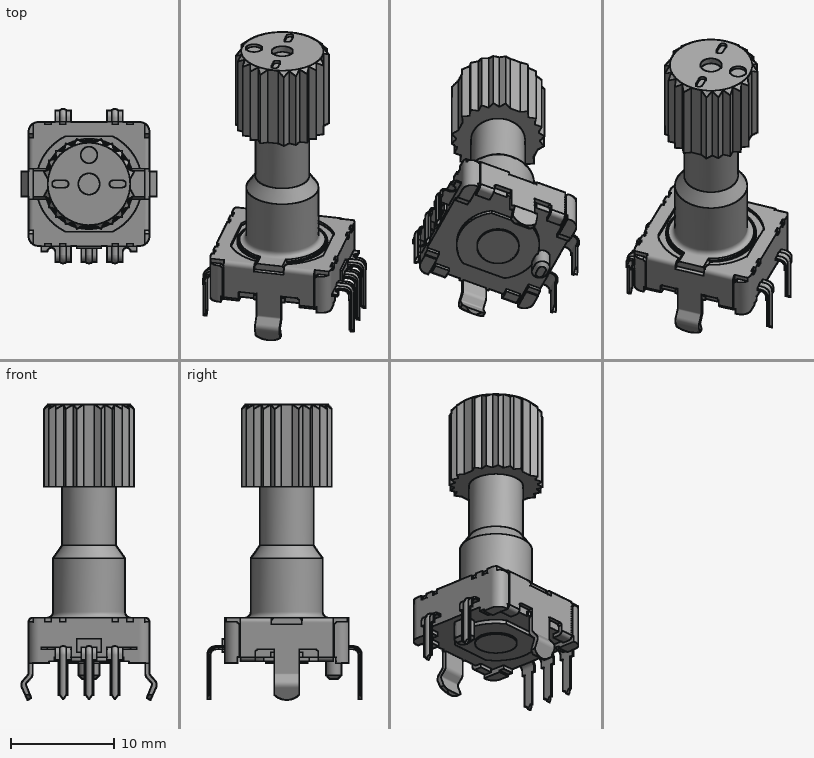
import cadquery as cq
import math


BODY_X = 11.72
BODY_Y = 12.0
BODY_TOP = 4.4
BODY_FLOOR = 0.57
CORNER_RADIUS = 1.0
SHEET = 0.43
BEND_RADIUS = 0.45
PLATE_HALF = 4.5
PLATE_BOTTOM = 0.17
SEAM_WIDTH = 0.1
SEAM_DEPTH = 0.11
FOOT_X = 3.85
FOOT_Y = 4.75
WALL_STEP_X = 3.32
CRIMP_LENGTH = 1.15

RECESS_RADIUS = 5.15
RECESS_HALF_Y = 4.6
RECESS_DEPTH = 0.25
RECESS_SLOPE = 0.215
ISLAND_RADIUS = 4.15
ISLAND_SLOPE = 0.11
ISLAND_STEP_RADIUS = 4.37
ISLAND_STEP = 0.1
BRIDGE_HALF = 1.25
BRIDGE_STEP = 0.65

BUSHING_RADIUS = 7.0 / 2
FLARE = 0.51
CONE_BOTTOM = 10.12
CONE_TOP = 11.38
SHAFT_RADIUS = 5.23 / 2
KNOB_BOTTOM = 17.05
KNOB_TOP = 25.02
TOOTH_RADIUS = 4.52
TOOTH_SLOTS = 24
KNOB_TOP_RADIUS = 3.97
KNOB_CHAMFER = 0.45
CENTRE_DEPTH = 0.63
MARK_DEPTH = 0.3

TAB_HALF = 2.43 / 2
TAB_REACH = 6.55
OVERALL_HEIGHT = 28.6
TAB_LOW = KNOB_TOP - OVERALL_HEIGHT
INNER_BEND = 0.23
OUTER_BEND = 0.63
TAB_SHOULDER = TAB_LOW + 0.51
WINDOW_HALF = 3.03
WINDOW_TOP = 1.35
WINDOW_CHAMFER = 0.2

TERMINAL_ROW = 5.0
PITCH = TERMINAL_ROW / 2
TERMINAL_TOP = 1.52
TERMINAL_SHEET = 0.2
TERMINAL_START = SHEET - BODY_Y / 2
TERMINAL_WIDTH = 1.55
TERMINAL_WIDE_BOTTOM = 0.35
TERMINAL_BEND = 0.7
LEG_WIDTH = 0.95
LEG_BOTTOM = -3.1
RIB_WIDTH = 0.63
RIB_RAISE = 0.15
RIB_TIP = 0.43
FRONT_REACH = 7.55
BACK_REACH = 7.12


def block(x0, x1, y0, y1, z0, z1):
    """Box between two opposite corners."""
    return cq.Workplane("XY").box(x1 - x0, y1 - y0, z1 - z0, centered=False).translate((x0, y0, z0))


def both_x(shape):
    """The shape together with its mirror image across X = 0."""
    return shape.union(shape.mirror("YZ"))


def both_y(shape):
    """The shape together with its mirror image across Y = 0."""
    return shape.union(shape.mirror("XZ"))


def four_ways(shape):
    """The shape repeated in all four quadrants."""
    return both_y(both_x(shape))


def make_body():
    """Rounded block standing on four corner feet, with stepped end walls between them."""
    body = cq.Workplane("XY").rect(BODY_X, BODY_Y).extrude(BODY_TOP).edges("|Z").fillet(CORNER_RADIUS)
    body = body.cut(block(-BODY_X, BODY_X, -FOOT_Y, FOOT_Y, 0, BODY_FLOOR))
    body = body.cut(block(-FOOT_X, FOOT_X, -BODY_Y, BODY_Y, 0, PLATE_BOTTOM))
    return body.cut(block(-WALL_STEP_X, WALL_STEP_X, -BODY_Y, BODY_Y, 0, BODY_FLOOR))


def crimps():
    """Lower plate ends bent in under the body beside the windows."""
    edge_x = BODY_X / 2
    top = BODY_FLOOR + SHEET
    crimp = block(edge_x - CRIMP_LENGTH, edge_x, WINDOW_HALF, PLATE_HALF, PLATE_BOTTOM, top)
    return four_ways(crimp.edges("|Y and >X and <Z").fillet(BEND_RADIUS))


def side_plate_cuts():
    """Rounded top edge, corner ledges, seams and windows of the cover's two side plates."""
    edge_x = BODY_X / 2
    corner = block(edge_x - BEND_RADIUS, edge_x, -PLATE_HALF, PLATE_HALF, BODY_TOP - BEND_RADIUS, BODY_TOP)
    roll = (
        cq.Workplane("XZ")
        .center(edge_x - BEND_RADIUS, BODY_TOP - BEND_RADIUS)
        .circle(BEND_RADIUS)
        .extrude(PLATE_HALF, both=True)
    )
    cuts = both_x(corner.cut(roll))

    ledge = block(edge_x - BEND_RADIUS, edge_x, PLATE_HALF, BODY_Y / 2, BODY_TOP - SHEET, BODY_TOP)
    cuts = cuts.union(four_ways(ledge))

    slope_end = 4.83
    slope_depth = 0.3
    ledge_z = BODY_TOP - SHEET
    slope = (
        cq.Workplane("YZ").workplane(offset=edge_x - BEND_RADIUS)
        .polyline([(PLATE_HALF, ledge_z), (slope_end, ledge_z), (PLATE_HALF, ledge_z - slope_depth)])
        .close()
        .extrude(BEND_RADIUS)
    )
    cuts = cuts.union(four_ways(slope))

    seam = (
        cq.Workplane("XY")
        .polyline([
            (edge_x, PLATE_HALF),
            (edge_x - SEAM_DEPTH, PLATE_HALF),
            (edge_x, PLATE_HALF + SEAM_WIDTH),
        ])
        .close()
        .extrude(BODY_TOP)
    )
    cuts = cuts.union(four_ways(seam))

    window = block(edge_x - SHEET, edge_x, TAB_HALF, WINDOW_HALF, 0, WINDOW_TOP)
    return cuts.union(four_ways(window.edges("|X and >Y and >Z").chamfer(WINDOW_CHAMFER)))


def edge_notches():
    """Two pairs of small notches in the top edge of each end wall."""
    depth = 0.23
    inner_span = (2.25, 2.83)
    outer_span = (3.63, 4.3)
    notches = cq.Workplane("XY")
    for start, end in (inner_span, outer_span):
        notch = block(start, end, BODY_Y / 2 - depth, BODY_Y / 2, BODY_TOP - SHEET, BODY_TOP)
        notches = notches.add(four_ways(notch))
    return notches.combine()


def top_recess():
    """Flat-sided round recess, leaving a sloped round island and a sloped bridge along X."""
    floor = BODY_TOP - RECESS_DEPTH
    bridge_end = BODY_X / 2 - BEND_RADIUS
    foot_half = BRIDGE_HALF + RECESS_SLOPE
    recess = cq.Workplane("XY").workplane(offset=floor).circle(RECESS_RADIUS).extrude(RECESS_DEPTH)
    recess = recess.intersect(
        block(-RECESS_RADIUS, RECESS_RADIUS, -RECESS_HALF_Y, RECESS_HALF_Y, floor, BODY_TOP)
    )
    recess = recess.union(block(-bridge_end, bridge_end, -foot_half, foot_half, floor, BODY_TOP))
    island = (
        cq.Workplane("XY").workplane(offset=floor).circle(ISLAND_RADIUS + ISLAND_SLOPE)
        .workplane(offset=RECESS_DEPTH).circle(ISLAND_RADIUS).loft()
    )
    bridge = (
        cq.Workplane("YZ")
        .polyline([(-foot_half, floor), (foot_half, floor), (BRIDGE_HALF, BODY_TOP), (-BRIDGE_HALF, BODY_TOP)])
        .close()
        .extrude(BODY_X, both=True)
    )
    island_step = cq.Workplane("XY").workplane(offset=floor)
    island_step = island_step.circle(ISLAND_STEP_RADIUS).extrude(ISLAND_STEP)
    recess = recess.cut(island).cut(island_step).cut(bridge)
    step = block(bridge_end, BODY_X / 2, -foot_half, foot_half, BODY_TOP - BRIDGE_STEP, BODY_TOP)
    return recess.union(both_x(step))


def underside():
    """Flat-sided base plate with a round boss, tapered oval locating peg, and a pad behind each tab."""
    overlap = 0.3
    boss_radius = 2.03
    plate_radius = 4.0
    plate_flat_x = 3.35
    base = cq.Workplane("XY").workplane(offset=PLATE_BOTTOM).circle(plate_radius).extrude(BODY_FLOOR)
    base = base.intersect(block(-plate_flat_x, plate_flat_x, -plate_radius, plate_radius, 0, BODY_TOP))
    base = base.union(cq.Workplane("XY").circle(boss_radius).extrude(PLATE_BOTTOM + overlap))

    peg_y = 4.55
    peg_length = 2.05
    peg_width = 1.52
    peg_taper = 0.37
    peg_bottom = -1.55
    peg = (
        cq.Workplane("XY").workplane(offset=peg_bottom)
        .center(0, peg_y)
        .slot2D(peg_length, peg_width)
        .extrude(BODY_FLOOR + overlap - peg_bottom)
        .faces("<Z").chamfer(peg_taper)
    )

    pad_half = 1.55
    pad_top = 1.05
    pad_inner = BODY_X / 2 - SHEET - overlap
    pad = block(pad_inner, BODY_X / 2 - SHEET / 2, -pad_half, pad_half, BODY_FLOOR, pad_top)
    return base.union(peg).union(both_x(pad))


def mounting_tab():
    """Spring tab below the +X plate: bends outward, then back in to a rounded point."""
    root_z = 1.72
    inner_x = BODY_X / 2 - SHEET
    tip_x = 5.95
    tip_width = 0.37
    tip_rise = 0.2
    shoulder_z = -1.1
    shoulder_drop = 0.17
    elbow_z = -2.0
    elbow_rounding = 0.11
    shoulder_outside = (BODY_X / 2, shoulder_z)
    shoulder_inside = (inner_x, shoulder_z - shoulder_drop)
    elbow_outside = (TAB_REACH + elbow_rounding, elbow_z)
    elbow_inside = (TAB_REACH - SHEET, elbow_z)
    profile = [
        (inner_x, root_z),
        (BODY_X / 2, root_z),
        shoulder_outside,
        elbow_outside,
        (tip_x, TAB_LOW),
        (tip_x - tip_width, TAB_LOW + tip_rise),
        elbow_inside,
        shoulder_inside,
    ]
    strip = cq.Workplane("XZ").polyline(profile).close().extrude(TAB_HALF, both=True)
    for (x, z), radius in (
        (shoulder_outside, INNER_BEND),
        (elbow_outside, OUTER_BEND),
        (elbow_inside, INNER_BEND),
        (shoulder_inside, OUTER_BEND),
    ):
        strip = strip.edges(cq.selectors.NearestToPointSelector((x, 0, z))).fillet(radius)
    outline = (
        cq.Workplane("YZ")
        .moveTo(-TAB_HALF, root_z)
        .lineTo(-TAB_HALF, TAB_SHOULDER)
        .threePointArc((0, TAB_LOW), (TAB_HALF, TAB_SHOULDER))
        .lineTo(TAB_HALF, root_z)
        .close()
        .extrude(BODY_X)
    )
    return strip.intersect(outline)


def bent_path(reach, bottom):
    """Outer line of a terminal: out of the wall toward -Y, round the bend and down to `bottom`."""
    centre_y = TERMINAL_BEND - reach
    centre_z = TERMINAL_TOP - TERMINAL_BEND
    diagonal = TERMINAL_BEND * math.sqrt(0.5)
    return (
        cq.Workplane("YZ")
        .moveTo(TERMINAL_START, TERMINAL_TOP)
        .lineTo(centre_y, TERMINAL_TOP)
        .threePointArc((centre_y - diagonal, centre_z + diagonal), (-reach, centre_z))
        .lineTo(-reach, bottom)
    )


def bent_sheet(width, reach, bottom):
    """Flat strip lying under the terminal's outer line."""
    profile = (
        cq.Workplane("XZ", origin=(0, TERMINAL_START, 0))
        .center(0, TERMINAL_TOP - TERMINAL_SHEET / 2)
        .rect(width, TERMINAL_SHEET)
    )
    return profile.sweep(bent_path(reach, bottom))


def terminal(reach):
    """Terminal on the -Y side: wide bent sheet, narrow leg and a pointed, rounded stiffening rib."""
    half_rib = RIB_WIDTH / 2
    rib_bottom = LEG_BOTTOM - RIB_TIP
    rib_base = TERMINAL_TOP - TERMINAL_SHEET
    wide = bent_sheet(TERMINAL_WIDTH, reach, TERMINAL_WIDE_BOTTOM)
    leg = bent_sheet(LEG_WIDTH, reach, LEG_BOTTOM)
    rib = (
        cq.Workplane("XZ", origin=(0, TERMINAL_START, 0))
        .moveTo(-half_rib, rib_base)
        .lineTo(-half_rib, TERMINAL_TOP)
        .threePointArc((0, TERMINAL_TOP + RIB_RAISE), (half_rib, TERMINAL_TOP))
        .lineTo(half_rib, rib_base)
        .close()
        .sweep(bent_path(reach, rib_bottom))
    )
    point = (
        cq.Workplane("XZ")
        .polyline([
            (-half_rib, BODY_TOP),
            (-half_rib, LEG_BOTTOM),
            (0, rib_bottom),
            (half_rib, LEG_BOTTOM),
            (half_rib, BODY_TOP),
        ])
        .close()
        .extrude(BODY_Y)
    )
    return wide.union(leg).union(rib.intersect(point))


def terminals():
    """Three terminals with frame stubs at -Y, two at +Y."""
    front = terminal(FRONT_REACH)
    back = terminal(BACK_REACH).mirror("XZ")
    group = front
    for x in (-PITCH, PITCH):
        group = group.union(front.translate((x, 0, 0))).union(back.translate((x, 0, 0)))

    stub_end = 4.63
    stub_reach = 0.55
    notch_radius = 0.37
    terminal_edge = PITCH + TERMINAL_WIDTH / 2
    wall = BODY_Y / 2
    stub = block(
        PITCH, stub_end, -wall - stub_reach, -wall + SHEET, TERMINAL_TOP - TERMINAL_SHEET, TERMINAL_TOP
    )
    notch = cq.Workplane("XY").center(terminal_edge + notch_radius, -wall - stub_reach)
    notch = notch.circle(notch_radius).extrude(BODY_TOP)
    return group.union(both_x(stub.cut(notch)))


def front_pad():
    """Raised rectangle in the middle of the -Y wall."""
    half_width = 1.2
    proud = 0.23
    low = 1.05
    high = 2.35
    return block(-half_width, half_width, -BODY_Y / 2 - proud, -BODY_Y / 2 + SHEET, low, high)


def bushing_and_shaft():
    """Bushing with a flared foot and a conical shoulder, carrying the shaft."""
    diagonal = 1 - math.sqrt(0.5)
    flare_top = BODY_TOP + FLARE
    return (
        cq.Workplane("XZ")
        .moveTo(0, BODY_TOP - RECESS_DEPTH)
        .lineTo(BUSHING_RADIUS + FLARE, BODY_TOP - RECESS_DEPTH)
        .lineTo(BUSHING_RADIUS + FLARE, BODY_TOP)
        .threePointArc(
            (BUSHING_RADIUS + FLARE * diagonal, BODY_TOP + FLARE * diagonal), (BUSHING_RADIUS, flare_top)
        )
        .lineTo(BUSHING_RADIUS, CONE_BOTTOM)
        .lineTo(SHAFT_RADIUS, CONE_TOP)
        .lineTo(SHAFT_RADIUS, KNOB_BOTTOM)
        .lineTo(0, KNOB_BOTTOM)
        .close()
        .revolve(360, (0, 0, 0), (0, 1, 0))
    )


def knob():
    """Serrated knob with 90-degree teeth, flats on the four axes and shallow marks on top."""
    slot_angle = 2 * math.pi / TOOTH_SLOTS
    half_slot = slot_angle / 2
    root_radius = TOOTH_RADIUS / (math.cos(half_slot) + math.sin(half_slot))
    slots_per_quarter = TOOTH_SLOTS // 4
    points = []
    for i in range(TOOTH_SLOTS):
        angle = i * slot_angle
        if i % slots_per_quarter:
            points.append((TOOTH_RADIUS * math.cos(angle), TOOTH_RADIUS * math.sin(angle)))
        root_angle = angle + half_slot
        points.append((root_radius * math.cos(root_angle), root_radius * math.sin(root_angle)))
    grip = (
        cq.Workplane("XY").workplane(offset=KNOB_BOTTOM)
        .polyline(points)
        .close()
        .extrude(KNOB_TOP - KNOB_BOTTOM)
    )

    clear_radius = TOOTH_RADIUS + 0.3
    envelope = (
        cq.Workplane("XZ")
        .polyline([
            (0, KNOB_BOTTOM),
            (clear_radius, KNOB_BOTTOM),
            (clear_radius, KNOB_TOP - KNOB_CHAMFER),
            (TOOTH_RADIUS, KNOB_TOP - KNOB_CHAMFER),
            (KNOB_TOP_RADIUS, KNOB_TOP),
            (0, KNOB_TOP),
        ])
        .close()
        .revolve(360, (0, 0, 0), (0, 1, 0))
    )
    centre_radius = 1.03
    side_radius = 0.8
    side_y = 2.8
    slot_x = 2.77
    slot_length = 1.6
    slot_width = 0.7
    marks = cq.Workplane("XY").workplane(offset=KNOB_TOP - MARK_DEPTH)
    centre_plane = cq.Workplane("XY").workplane(offset=KNOB_TOP - CENTRE_DEPTH)
    centre_dimple = centre_plane.circle(centre_radius).extrude(CENTRE_DEPTH)
    side_dimple = marks.center(0, side_y).circle(side_radius).extrude(MARK_DEPTH)
    slots = marks.pushPoints([(-slot_x, 0), (slot_x, 0)]).slot2D(slot_length, slot_width).extrude(MARK_DEPTH)
    return grip.intersect(envelope).cut(centre_dimple).cut(side_dimple).cut(slots)


housing = make_body().union(crimps())
for cutter in (side_plate_cuts(), edge_notches(), top_recess()):
    housing = housing.cut(cutter)

result = housing
for piece in (underside(), both_x(mounting_tab()), terminals(), front_pad(), bushing_and_shaft(), knob()):
    result = result.union(piece)